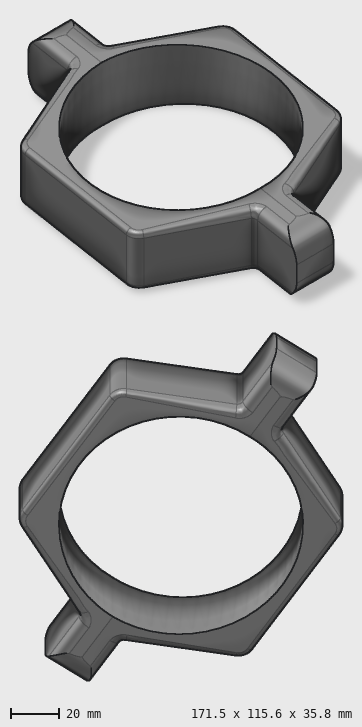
import cadquery as cq
import math

length = 171.45
width = 115.57
bore_diameter = 101.47

flat_length = 73.66
side_angle = 65.0
arm_width = 20.32
arm_end_radius = 12.7
hex_corner_radius = 7.1
arm_root_radius = 2.54

edge_height = 31.75
roof_angle = 2.0

arm_rim_radius = 5.08
side_rim_radius = 4.3
flat_rim_radius = 2.6

half_length = length / 2
half_width = width / 2
half_arm = arm_width / 2
half_flat = flat_length / 2
root_x = half_flat + (half_width - half_arm) / math.tan(math.radians(side_angle))
ridge_height = edge_height + width * math.tan(math.radians(roof_angle))

TOLERANCE = 0.01
STEPS_PER_EDGE = 8

shapes = cq.occ_impl.shapes


def round_uprights(prism, x, radius):
    """Fillet the four vertical edges that stand at distance x from the YZ plane."""
    edges = prism.edges("|Z").filter(lambda edge: abs(abs(edge.Center().x) - x) < TOLERANCE)
    return edges.fillet(radius)


def make_plan_prism():
    """Vertical prism of the ring and arms, with its upright corners rounded."""
    right_back = [(half_length, half_arm), (root_x, half_arm), (half_flat, half_width)]
    back = right_back + [(-x, y) for x, y in reversed(right_back)]
    front = [(x, -y) for x, y in reversed(back)]
    prism = cq.Workplane("XY").polyline(back + front).close().extrude(ridge_height / 2, both=True)
    prism = round_uprights(prism, root_x, arm_root_radius)
    return round_uprights(prism, half_flat, hex_corner_radius)


def make_roof_envelope():
    """Long bar along X whose cross-section is ridged at top and bottom."""
    ridge_z = ridge_height / 2
    edge_z = edge_height / 2
    back = [(0, ridge_z), (half_width, edge_z), (half_width, -edge_z)]
    front = [(-y, -z) for y, z in back]
    return cq.Workplane("YZ").polyline(back + front).close().extrude(half_length, both=True)


def make_end_envelope():
    """Bar across Y that rounds the arm ends at top and bottom."""
    bar = cq.Workplane("XZ").rect(length, ridge_height).extrude(half_width, both=True)
    return bar.edges("|Y").fillet(arm_end_radius)


def rim_radius(point):
    """Rim fillet radius at one end of a rim edge."""
    distance_from_ridge = abs(point.y)
    if distance_from_ridge < half_arm + TOLERANCE:
        return arm_rim_radius
    if distance_from_ridge < half_arm + arm_root_radius:
        return side_rim_radius
    return flat_rim_radius


def radius_stations(first, last):
    """Radii at even steps along one rim edge, changing linearly between its ends."""
    stations = shapes.TColgp_HArray1OfPnt2d(0, STEPS_PER_EDGE)
    for step in range(STEPS_PER_EDGE + 1):
        fraction = step / STEPS_PER_EDGE
        radius = first + fraction * (last - first)
        stations.SetValue(step, shapes.gp_Pnt2d(fraction, radius))
    return stations


def round_rims(body):
    """Blend the walls into the top and bottom faces with a varying radius."""
    solid = body.val()
    builder = shapes.BRepFilletAPI_MakeFillet(solid.wrapped)

    flat_edges = body.edges("|X").edges("<Y or >Y")
    for flat_edge in flat_edges.vals():
        builder.Add(flat_rim_radius, flat_edge.wrapped)

    for rim in range(1, builder.NbContours() + 1):
        edge_count = builder.NbEdges(rim)
        for index in range(1, edge_count + 1):
            edge = cq.Edge(builder.Edge(rim, index))
            radii = [rim_radius(edge.startPoint()), rim_radius(edge.endPoint())]
            radii.sort(reverse=index <= edge_count / 2)
            builder.SetRadius(radius_stations(*radii), rim, index)
    return cq.Workplane(cq.Shape.cast(builder.Shape()))


def make_bore():
    """Cylinder removed through the middle of the ring."""
    return cq.Workplane("XY").cylinder(2 * ridge_height, bore_diameter / 2)


roofed_body = make_plan_prism().intersect(make_roof_envelope())
rounded_body = round_rims(roofed_body).intersect(make_end_envelope())
result = rounded_body.cut(make_bore())